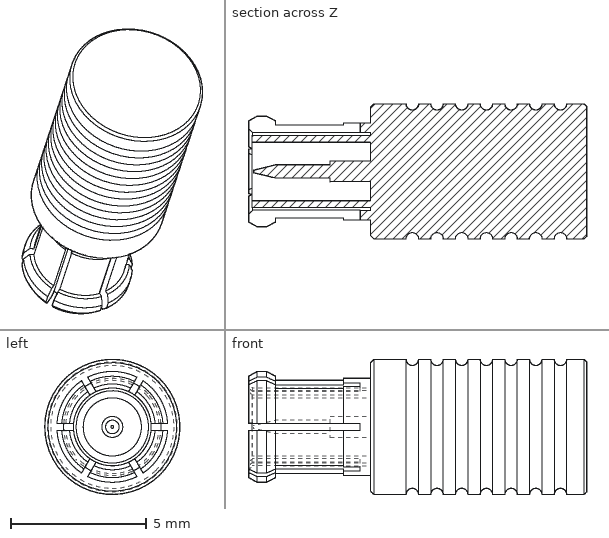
import cadquery as cq

LENGTH = 12.5

BODY_RADIUS = 2.5
BODY_START = 4.5
FRONT_CHAMFER = 0.12
REAR_CHAMFER = 0.1
GROOVE_RADIUS = 0.22
GROOVE_COUNT = 7
GROOVE_PITCH = 0.91
FIRST_GROOVE = 6.05

HEAD_RADIUS = 2.05
HEAD_EDGE_RADIUS = 1.88
HEAD_CREST_START = 0.31
HEAD_CREST_END = 0.66
HEAD_END = 1.0
NECK_RADIUS = 1.72
NECK_END = 3.5
COLLAR_RADIUS = 1.8

SLOT_WIDTH = 0.26
SLOT_END = 4.12
SLOT_COUNT = 6
GAP_OUTER_RADIUS = 1.44
MOUTH_RADIUS = 1.59
MOUTH_CHAMFER = MOUTH_RADIUS - GAP_OUTER_RADIUS

SLEEVE_START = 0.12
SLEEVE_RADIUS = 1.34
BORE_RADIUS = 1.08
CAVITY_END = BODY_START
PIN_RADIUS = 0.25
PIN_TIP = 0.19
PIN_TIP_RADIUS = 0.05
PIN_CONE_LENGTH = 0.81
PIN_SHANK_RADIUS = 0.39
PIN_SHANK_START = 3.0


def revolve_profile(profile):
    """Turn a closed XY profile about the X axis."""
    return profile.close().revolve(360, (0, 0, 0), (1, 0, 0))


def make_outer_shell():
    """Solid of revolution with the whole outside shape except the grooves."""
    return revolve_profile(
        cq.Workplane("XY")
        .moveTo(0, 0)
        .lineTo(0, HEAD_EDGE_RADIUS)
        .lineTo(HEAD_CREST_START, HEAD_RADIUS)
        .lineTo(HEAD_CREST_END, HEAD_RADIUS)
        .lineTo(HEAD_END, HEAD_EDGE_RADIUS)
        .lineTo(HEAD_END, NECK_RADIUS)
        .lineTo(NECK_END, NECK_RADIUS)
        .lineTo(NECK_END, COLLAR_RADIUS)
        .lineTo(BODY_START, COLLAR_RADIUS)
        .lineTo(BODY_START, BODY_RADIUS - FRONT_CHAMFER)
        .lineTo(BODY_START + FRONT_CHAMFER, BODY_RADIUS)
        .lineTo(LENGTH - REAR_CHAMFER, BODY_RADIUS)
        .lineTo(LENGTH, BODY_RADIUS - REAR_CHAMFER)
        .lineTo(LENGTH, 0)
    )


def make_groove(center):
    """Ring of round section that cuts one half-round groove."""
    return revolve_profile(
        cq.Workplane("XY")
        .moveTo(center - GROOVE_RADIUS, BODY_RADIUS)
        .threePointArc(
            (center, BODY_RADIUS - GROOVE_RADIUS),
            (center + GROOVE_RADIUS, BODY_RADIUS),
        )
        .lineTo(center + GROOVE_RADIUS, BODY_RADIUS + GROOVE_RADIUS)
        .lineTo(center - GROOVE_RADIUS, BODY_RADIUS + GROOVE_RADIUS)
    )


def make_finger_cavity():
    """Space inside the fingers, with a chamfered mouth."""
    return revolve_profile(
        cq.Workplane("XY")
        .moveTo(0, 0)
        .lineTo(0, MOUTH_RADIUS)
        .lineTo(MOUTH_CHAMFER, GAP_OUTER_RADIUS)
        .lineTo(CAVITY_END, GAP_OUTER_RADIUS)
        .lineTo(CAVITY_END, 0)
    )


def make_slot(angle):
    """Radial slot reaching from the axis out through one side of the fingers."""
    return (
        cq.Workplane("XY")
        .box(SLOT_END, BODY_RADIUS, SLOT_WIDTH, centered=(False, False, True))
        .rotate((0, 0, 0), (1, 0, 0), angle)
    )


def make_sleeve():
    """Plain tube standing inside the fingers."""
    return (
        cq.Workplane("YZ", origin=(SLEEVE_START, 0, 0))
        .circle(SLEEVE_RADIUS)
        .circle(BORE_RADIUS)
        .extrude(CAVITY_END - SLEEVE_START)
    )


def make_pin():
    """Pointed contact pin on a thicker shank."""
    return revolve_profile(
        cq.Workplane("XY")
        .moveTo(PIN_TIP, 0)
        .lineTo(PIN_TIP, PIN_TIP_RADIUS)
        .lineTo(PIN_TIP + PIN_CONE_LENGTH, PIN_RADIUS)
        .lineTo(PIN_SHANK_START, PIN_RADIUS)
        .lineTo(PIN_SHANK_START, PIN_SHANK_RADIUS)
        .lineTo(CAVITY_END, PIN_SHANK_RADIUS)
        .lineTo(CAVITY_END, 0)
    )


result = make_outer_shell().cut(make_finger_cavity())
for index in range(GROOVE_COUNT):
    result = result.cut(make_groove(FIRST_GROOVE + index * GROOVE_PITCH))
for index in range(SLOT_COUNT):
    result = result.cut(make_slot(index * 360 / SLOT_COUNT))
result = result.union(make_sleeve()).union(make_pin())